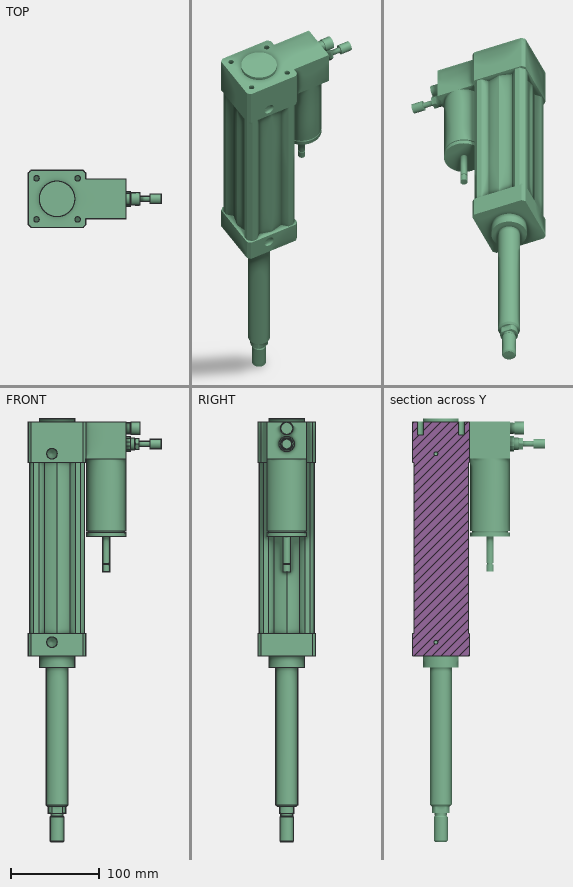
import cadquery as cq
import math


head_side = 65.0
head_chamfer = 3.5
rear_head_height = 46.0
tube_length = 192.5
front_head_height = 26.0
collar_diameter = 40.0
collar_height = 13.0
cap_height = 4.0
tube_end_z = -rear_head_height - tube_length
front_face_z = tube_end_z - front_head_height
collar_end_z = front_face_z - collar_height

tube_side = 62.0
tube_chamfer = 5.0
groove_half_width = 20.5
groove_wall_run = 6.0
ridge_slope_degrees = 15

bolt_hole_diameter = 6.0
bolt_hole_spacing = 46.5
bolt_hole_depth = 14.5
port_diameter = 12.0
port_x = -5.5
port_depth = 7.0
port_tip_degrees = 118
port_tip_height = port_diameter / 2 / math.tan(math.radians(port_tip_degrees / 2))
rear_port_z = -36.0
front_port_from_tube = 10.0
front_port_z = tube_end_z - front_port_from_tube

motor_diameter = 45.0
motor_x = 55.5
motor_length = 88.0
motor_groove_diameter = 41.0
groove_width = 1.5
motor_groove_from_end = 5.0
gearbox_height = 41.5
gearbox_end_x = motor_x + motor_diameter / 2
motor_end_z = -gearbox_height - motor_length

tail_diameter = 8.0
tail_length = 39.5
tail_groove_diameter = 6.0
tail_groove_from_end = 8.0

plug_z = -7.0
plug_stages = [(13.0, 4.5), (12.0, 1.0), (14.5, 10.5)]

outlet_z = -25.0
nut_sides = 12
nut_corner_diameter = 17.5
nut_length = 5.0
gland_diameter = 14.0
gland_length = 5.0
clamp_sides = 6
clamp_across_flats = 13.0
clamp_chamfer = 1.5
clamp_length = 5.3
cable_diameter = 6.0
cable_length = 12.0
ferrule_diameter = 11.0
ferrule_length = 13.0

rod_diameter = 25.0
rod_length = 157.0
rod_chamfer = 2.0
flats_diameter = 20.0
across_flats = 16.3
flats_length = 7.5
neck_diameter = 14.0
neck_length = 3.0
thread_diameter = 16.0
thread_length = 29.5
thread_chamfer = 1.5


def cylinder_down(diameter, length, x, top_z):
    """Upright cylinder that hangs from top_z."""
    return cq.Workplane("XY", origin=(x, 0, top_z)).circle(diameter / 2).extrude(-length)


def end_face_plane(x, z):
    """Plane at the gearbox end whose normal points outwards along +X."""
    return cq.Workplane("YZ", origin=(x, 0, z))


def make_head(top_z, height):
    """Square block with chamfered upright edges."""
    head = cq.Workplane("XY", origin=(0, 0, top_z)).rect(head_side, head_side).extrude(-height)
    return head.edges("|Z").chamfer(head_chamfer)


def make_tube():
    """Extruded tube profile, drawn one quarter-turn side at a time."""
    half = tube_side / 2
    groove_floor = half - groove_wall_run
    floor_half_width = groove_half_width - groove_wall_run
    ridge = groove_floor + floor_half_width * math.tan(math.radians(ridge_slope_degrees))
    side = [
        (-half + tube_chamfer, -half),
        (-groove_half_width, -half),
        (-floor_half_width, -groove_floor),
        (0, -ridge),
        (floor_half_width, -groove_floor),
        (groove_half_width, -half),
        (half - tube_chamfer, -half),
    ]
    outline = []
    for _ in range(4):
        outline += side
        side = [(-y, x) for x, y in side]
    top_plane = cq.Workplane("XY", origin=(0, 0, -rear_head_height))
    return top_plane.polyline(outline).close().extrude(-tube_length)


def make_port(z):
    """Drilled hole with a conical bottom, entering from the -Y side."""
    mouth_y = -head_side / 2
    floor_y = mouth_y + port_depth
    profile = cq.Workplane("XY", origin=(port_x, 0, z)).polyline([
        (0, mouth_y),
        (port_diameter / 2, mouth_y),
        (port_diameter / 2, floor_y),
        (0, floor_y + port_tip_height),
    ]).close()
    return profile.revolve(360, (0, 0, 0), (0, 1, 0))


def make_plug():
    """Stepped round plug."""
    plug = cq.Workplane("XY")
    x = gearbox_end_x
    for diameter, length in plug_stages:
        plug = plug.union(end_face_plane(x, plug_z).circle(diameter / 2).extrude(length))
        x += length
    return plug


def make_cable_outlet():
    """Nut, gland, hexagonal clamp with a chamfered inner end, and the cable with its ferrule."""
    gland_x = gearbox_end_x + nut_length
    clamp_x = gland_x + gland_length
    cable_x = clamp_x + clamp_length
    ferrule_x = cable_x + cable_length

    nut = end_face_plane(gearbox_end_x, outlet_z).polygon(nut_sides, nut_corner_diameter).extrude(nut_length)
    nut = nut.rotate((0, 0, outlet_z), (1, 0, outlet_z), 180 / nut_sides)
    gland = end_face_plane(gland_x, outlet_z).circle(gland_diameter / 2).extrude(gland_length)
    clamp_corner_diameter = clamp_across_flats / math.cos(math.pi / clamp_sides)
    hexagon = end_face_plane(clamp_x, outlet_z).polygon(clamp_sides, clamp_corner_diameter).extrude(clamp_length)
    clamp_blank = end_face_plane(clamp_x, outlet_z).circle(clamp_corner_diameter / 2).extrude(clamp_length)
    clamp = clamp_blank.faces("<X").chamfer(clamp_chamfer).intersect(hexagon)
    cable = end_face_plane(cable_x, outlet_z).circle(cable_diameter / 2).extrude(cable_length)
    ferrule = end_face_plane(ferrule_x, outlet_z).circle(ferrule_diameter / 2).extrude(ferrule_length)
    return nut.union(gland).union(clamp).union(cable).union(ferrule)


def make_housing():
    """Both heads, the tube, the gearbox and its fittings as one solid."""
    gearbox = cq.Workplane("XY").box(
        gearbox_end_x, motor_diameter, gearbox_height, centered=(False, True, False)
    ).translate((0, 0, -gearbox_height))
    housing = (
        make_head(0, rear_head_height)
        .union(gearbox)
        .union(make_tube())
        .union(make_head(tube_end_z, front_head_height))
        .union(cylinder_down(collar_diameter, cap_height, 0, cap_height))
        .union(cylinder_down(collar_diameter, collar_height, 0, front_face_z))
        .union(make_plug())
        .union(make_cable_outlet())
    )
    bolt_holes = (
        cq.Workplane("XY")
        .rect(bolt_hole_spacing, bolt_hole_spacing, forConstruction=True)
        .vertices()
        .circle(bolt_hole_diameter / 2)
        .extrude(-bolt_hole_depth)
    )
    return housing.cut(bolt_holes).cut(make_port(rear_port_z)).cut(make_port(front_port_z))


def ring_groove(outer_diameter, floor_diameter, bottom_z):
    """Ring to cut around the motor axis, rising groove_width above bottom_z."""
    plane = cq.Workplane("XY", origin=(motor_x, 0, bottom_z))
    return plane.circle(outer_diameter / 2).circle(floor_diameter / 2).extrude(groove_width)


def make_motor():
    """Round motor with a slim tail, each with a ring groove near its lower end."""
    tail_end_z = motor_end_z - tail_length
    motor = cylinder_down(motor_diameter, motor_length, motor_x, -gearbox_height)
    motor = motor.union(cylinder_down(tail_diameter, tail_length, motor_x, motor_end_z))
    motor = motor.cut(ring_groove(motor_diameter, motor_groove_diameter, motor_end_z + motor_groove_from_end))
    return motor.cut(ring_groove(tail_diameter, tail_groove_diameter, tail_end_z + tail_groove_from_end))


def make_rod():
    """Piston rod with wrench flats, a neck and a thread end chamfered all round."""
    flats_z = collar_end_z - rod_length
    neck_z = flats_z - flats_length
    thread_z = neck_z - neck_length
    shaft = cylinder_down(rod_diameter, rod_length, 0, collar_end_z).faces("<Z").chamfer(rod_chamfer)
    flats_plane = cq.Workplane("XY", origin=(0, 0, flats_z))
    flats_slab = flats_plane.rect(flats_diameter, across_flats).extrude(-flats_length)
    flats = cylinder_down(flats_diameter, flats_length, 0, flats_z).intersect(flats_slab)
    neck = cylinder_down(neck_diameter, neck_length, 0, neck_z)
    thread = cylinder_down(thread_diameter, thread_length, 0, thread_z).edges().chamfer(thread_chamfer)
    return shaft.union(flats).union(neck).union(thread)


housing = make_housing()
motor = make_motor()
rod = make_rod()

result = cq.Compound.makeCompound([housing.val(), motor.val(), rod.val()])